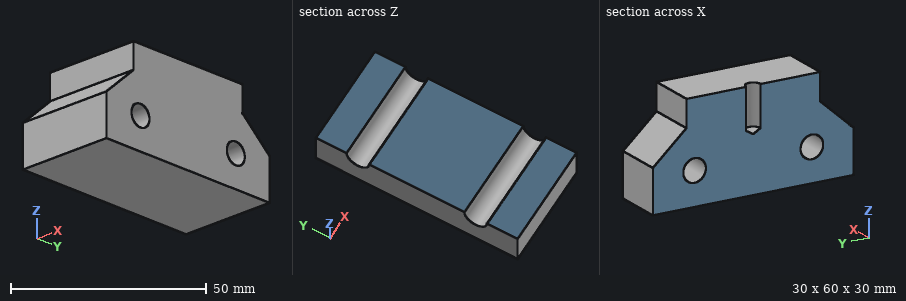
import cadquery as cq
import math

width = 30.0
length = 60.0
height = 30.0

top_length = 40.0
slope_top_z = 22.0
slope_bottom_z = 13.0

cross_hole_diameter = 6.6
cross_hole_spacing = 35.0
cross_hole_z = 10.0

top_hole_diameter = 4.2
top_hole_depth = 12.0
drill_point_angle = 118.0


def make_body():
    """Extrude the symmetric end-stepped profile across the width."""
    half_length = length / 2
    half_top = top_length / 2
    outline = [
        (-half_length, 0),
        (half_length, 0),
        (half_length, slope_bottom_z),
        (half_top, slope_top_z),
        (half_top, height),
        (-half_top, height),
        (-half_top, slope_top_z),
        (-half_length, slope_bottom_z),
    ]
    return cq.Workplane("YZ").polyline(outline).close().extrude(width / 2, both=True)


def make_cross_holes():
    """Two cylinders running through the block along X."""
    half_spacing = cross_hole_spacing / 2
    centres = [(-half_spacing, cross_hole_z), (half_spacing, cross_hole_z)]
    return (
        cq.Workplane("YZ")
        .pushPoints(centres)
        .circle(cross_hole_diameter / 2)
        .extrude(width / 2, both=True)
    )


def make_top_hole():
    """Blind hole with a conical drill point, revolved about the Z axis."""
    radius = top_hole_diameter / 2
    point_depth = radius / math.tan(math.radians(drill_point_angle / 2))
    shoulder_z = height - top_hole_depth
    return (
        cq.Workplane("XZ")
        .moveTo(0, height)
        .lineTo(radius, height)
        .lineTo(radius, shoulder_z)
        .lineTo(0, shoulder_z - point_depth)
        .close()
        .revolve(360, (0, 0, 0), (0, 1, 0))
    )


result = make_body().cut(make_cross_holes()).cut(make_top_hole())